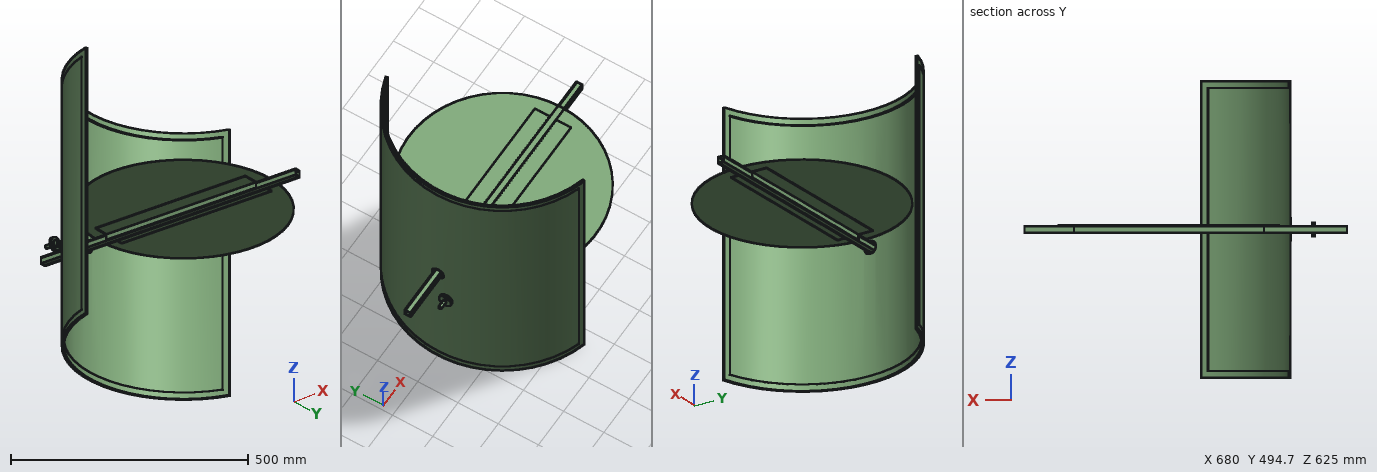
import cadquery as cq
import math

tube_length = 680
tube_width = 15
tube_wall = 1.5

angle_length = 400
angle_flange = 37.5
angle_height = 14
angle_thickness = 1.5
angle_rise = 0.5
angle_top_z = tube_width / 2 + angle_rise

disc_diameter = 465
disc_thickness = 1
disc_center_x = 35.4
disc_bottom_z = angle_top_z

screen_height = 625
screen_width = 494.73
screen_radius = 256.8
half_span = math.asin(screen_width / 2 / screen_radius)
skin_thickness = 1
frame_thickness = 4
frame_border = 15
frame_radius = screen_radius - skin_thickness
tube_hole_diameter = 29

bolt_y = -50
washer_start_x = -272
washer_diameter = 30
washer_thickness = 3
flange_diameter = washer_diameter
flange_thickness = washer_thickness
shank_diameter = 8
shank_length = 20
head_height = 4.4
head_base_diameter = 16
head_top_diameter = 9
head_bulge = 0.7


def arc_wall(outer_radius, thickness, half_angle, height):
    """Upright cylindrical wall bulging toward -X, centred on the disc axis and on Z = 0."""
    inner_radius = outer_radius - thickness

    def point(radius, angle):
        return (disc_center_x - radius * math.cos(angle), radius * math.sin(angle))

    return (
        cq.Workplane("XY", origin=(0, 0, -height / 2))
        .moveTo(*point(outer_radius, -half_angle))
        .threePointArc(point(outer_radius, 0), point(outer_radius, half_angle))
        .lineTo(*point(inner_radius, half_angle))
        .threePointArc(point(inner_radius, 0), point(inner_radius, -half_angle))
        .close()
        .extrude(height)
    )


def x_cylinder(diameter, start_x, length, y=0):
    """Cylinder along X, centred on Z = 0."""
    return cq.Workplane("YZ", origin=(start_x, y, 0)).circle(diameter / 2).extrude(length)


def make_tube():
    bore = tube_width - 2 * tube_wall
    return (
        cq.Workplane("YZ", origin=(-tube_length / 2, 0, 0))
        .rect(tube_width, tube_width)
        .rect(bore, bore)
        .extrude(tube_length)
    )


def make_disc():
    return (
        cq.Workplane("XY", origin=(disc_center_x, 0, disc_bottom_z))
        .circle(disc_diameter / 2)
        .extrude(disc_thickness)
    )


def make_angle(side):
    """L-profile on one side of the tube; side is +1 or -1 along Y."""
    top = angle_top_z
    inner = side * tube_width / 2
    leg_face = inner + side * angle_thickness
    outer = inner + side * angle_flange
    return (
        cq.Workplane("YZ", origin=(disc_center_x - angle_length / 2, 0, 0))
        .polyline([
            (inner, top),
            (outer, top),
            (outer, top - angle_thickness),
            (leg_face, top - angle_thickness),
            (leg_face, top - angle_height),
            (inner, top - angle_height),
        ])
        .close()
        .extrude(angle_length)
    )


def make_skin():
    sheet = arc_wall(screen_radius, skin_thickness, half_span, screen_height)
    return sheet.cut(x_cylinder(tube_hole_diameter, -tube_length / 2, tube_length / 2))


def make_frame():
    """Border strip of even width behind the rim of the skin, open in the middle."""
    border_angle = frame_border / frame_radius
    panel = arc_wall(frame_radius, frame_thickness, half_span, screen_height)
    opening = arc_wall(
        frame_radius, frame_thickness, half_span - border_angle, screen_height - 2 * frame_border
    )
    return panel.cut(opening)


def make_washer():
    bore = x_cylinder(shank_diameter, washer_start_x, washer_thickness, bolt_y)
    return x_cylinder(washer_diameter, washer_start_x, washer_thickness, bolt_y).cut(bore)


def make_bolt():
    flange_start_x = washer_start_x + washer_thickness
    head_start_x = flange_start_x + flange_thickness
    shank_reach = shank_length + washer_thickness
    shank = x_cylinder(shank_diameter, flange_start_x - shank_reach, shank_reach, bolt_y)
    flange = x_cylinder(flange_diameter, flange_start_x, flange_thickness, bolt_y)
    base_radius = head_base_diameter / 2
    top_radius = head_top_diameter / 2
    head = (
        cq.Workplane("XY", origin=(head_start_x, bolt_y, 0))
        .lineTo(0, base_radius)
        .sagittaArc((head_height, top_radius), head_bulge)
        .lineTo(head_height, 0)
        .close()
        .revolve(360, (0, 0), (1, 0))
    )
    return shank.union(flange).union(head)


tube = make_tube()
disc = make_disc()
angles = [make_angle(side) for side in (-1, 1)]
skin = make_skin()
frame = make_frame()
washer = make_washer()
bolt = make_bolt()

result = cq.Compound.makeCompound([
    tube.val(),
    disc.val(),
    *[angle.val() for angle in angles],
    skin.val(),
    frame.val(),
    washer.val(),
    bolt.val(),
])